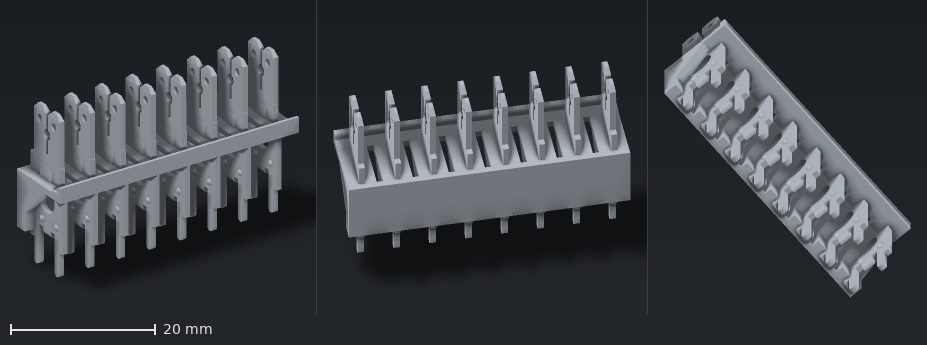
import cadquery as cq
import math


TERMINAL_COUNT = 8
PITCH = 5.08
ROW_CENTRE = (TERMINAL_COUNT - 1) / 2
TERMINAL_X = 5.0

HOUSING_LENGTH = 39.68
HOUSING_BOTTOM = 5.15
HOUSING_TOP = 14.1
WALL_WIDTH = 2.02
SLOPE_FOOT = 8.15
FLANGE_BOTTOM = 13.15
SLOPE_END_X = 6.95
RAMP_START_X = 8.4
RAMP_END_X = 8.95
LEDGE_TOP = 14.45
LIP_INNER_X = 10.05
LIP_OUTER_X = 10.9
LIP_TOP = 15.5
LIP_RADIUS = 0.5

SLOT_START_X = 0.95
SLOT_END_X = 8.35
SLOT_WIDTH = 0.95

THICKNESS = 0.85
TOTAL_HEIGHT = 25.0
SHANK_LEFT = SLOT_START_X
SHANK_RIGHT = 8.25
SHOULDER_RIGHT = 8.95
SHOULDER_TOP = 13.0
SHOULDER_CHAMFER = 0.15
SHANK_TOP = 17.0
SHANK_BOTTOM = 3.95
SHANK_FILLET = 0.25

PRONG_SPAN = 6.35
PRONG_GAP = 0.7
PRONG_GAP_BOTTOM = 17.78
TIP_HEIGHT = 0.85
TIP_THICKNESS = 0.55
KEYHOLE_DIAMETER = 1.65
KEYHOLE_Z = 21.0
EYE_DIAMETER = 1.2
EYE_SPACING = 3.5
EYE_Z = 22.85
WINDOW_DIAMETER = 4.0
WINDOW_Z = 10.95

LEG_SPAN = 6.2
LEG_WIDTH = 1.1
LEG_RADIUS = 0.5
CROTCH_Z = 6.35

TAB_WIDTH = 1.8
TAB_BOTTOM = 5.1

BARB_TOP = 16.15
BARB_TOP_WIDTH = 2.98
BARB_BOTTOM_WIDTH = 2.75
BARB_REACH = 0.25

DIMPLE_DIAMETER = 1.05
DIMPLE_HEIGHT = 0.28
DIMPLE_SPACING = 3.6
DIMPLE_X = 5.67
DIMPLE_Z = 7.55


def plate(outline, thickness):
    """Extrude a closed XZ outline symmetrically about Y = 0."""
    return cq.Workplane("XZ").polyline(outline).close().extrude(thickness / 2, both=True)


def cross_hole(x, z, diameter):
    """Round cutter running along Y through the blade."""
    return cq.Workplane("XZ").center(x, z).circle(diameter / 2).extrude(THICKNESS, both=True)


def make_housing():
    body = plate([
        (0, HOUSING_BOTTOM),
        (WALL_WIDTH, HOUSING_BOTTOM),
        (WALL_WIDTH, SLOPE_FOOT),
        (SLOPE_END_X, FLANGE_BOTTOM),
        (LIP_OUTER_X, FLANGE_BOTTOM),
        (LIP_OUTER_X, LIP_TOP),
        (LIP_INNER_X, LIP_TOP),
        (LIP_INNER_X, LEDGE_TOP),
        (RAMP_END_X, LEDGE_TOP),
        (RAMP_START_X, HOUSING_TOP),
        (0, HOUSING_TOP),
    ], HOUSING_LENGTH)
    lip_corner = cq.selectors.NearestToPointSelector((LIP_INNER_X, 0, LIP_TOP))
    body = body.edges(lip_corner).fillet(LIP_RADIUS)

    slot_count = 2 * TERMINAL_COUNT - 1
    slots = (
        cq.Workplane("XY")
        .center((SLOT_START_X + SLOT_END_X) / 2, 0)
        .rarray(0.4, PITCH / 2, 1, slot_count)
        .rect(SLOT_END_X - SLOT_START_X, SLOT_WIDTH)
        .extrude(HOUSING_TOP)
    )
    return body.cut(slots)


def make_shank():
    return plate([
        (SHANK_LEFT, SHANK_BOTTOM),
        (SHOULDER_RIGHT, SHANK_BOTTOM),
        (SHOULDER_RIGHT, SHOULDER_TOP - SHOULDER_CHAMFER),
        (SHOULDER_RIGHT - SHOULDER_CHAMFER, SHOULDER_TOP),
        (SHANK_RIGHT, SHOULDER_TOP),
        (SHANK_RIGHT, SHANK_TOP),
        (SHANK_LEFT, SHANK_TOP),
    ], THICKNESS)


def make_prongs():
    """Two tapered prongs split by a gap with a round relief."""
    prong_width = (PRONG_SPAN - PRONG_GAP) / 2
    prong_height = TOTAL_HEIGHT - SHANK_TOP
    prongs = (
        cq.Workplane("XY", origin=(TERMINAL_X, 0, SHANK_TOP))
        .rarray(prong_width + PRONG_GAP, 0.4, 2, 1)
        .rect(prong_width, THICKNESS)
        .extrude(prong_height)
        .edges(">Z and |Y")
        .chamfer(TIP_HEIGHT)
    )
    bridge_height = PRONG_GAP_BOTTOM - SHANK_TOP
    bridge = (
        cq.Workplane("XY", origin=(TERMINAL_X, 0, SHANK_TOP))
        .rect(PRONG_SPAN, THICKNESS)
        .extrude(bridge_height)
    )
    taper_start = TOTAL_HEIGHT - TIP_HEIGHT
    taper = (
        cq.Workplane("YZ")
        .polyline([
            (-THICKNESS / 2, SHANK_TOP),
            (THICKNESS / 2, SHANK_TOP),
            (THICKNESS / 2, taper_start),
            (TIP_THICKNESS / 2, TOTAL_HEIGHT),
            (-TIP_THICKNESS / 2, TOTAL_HEIGHT),
            (-THICKNESS / 2, taper_start),
        ])
        .close()
        .extrude(SHOULDER_RIGHT)
    )
    prongs = prongs.union(bridge).intersect(taper)
    prongs = prongs.cut(cross_hole(TERMINAL_X, KEYHOLE_Z, KEYHOLE_DIAMETER))
    for side in (-1, 1):
        prongs = prongs.cut(cross_hole(TERMINAL_X + side * EYE_SPACING / 2, EYE_Z, EYE_DIAMETER))
    return prongs


def make_corner_fillet():
    """Concave fillet where the outer prong rises from the shank."""
    corner_x = TERMINAL_X - PRONG_SPAN / 2
    inset = SHANK_FILLET * (1 - math.sqrt(0.5))
    return (
        cq.Workplane("XZ")
        .moveTo(corner_x, SHANK_TOP)
        .lineTo(corner_x - SHANK_FILLET, SHANK_TOP)
        .threePointArc((corner_x - inset, SHANK_TOP + inset), (corner_x, SHANK_TOP + SHANK_FILLET))
        .close()
        .extrude(THICKNESS / 2, both=True)
    )


def make_legs():
    return (
        cq.Workplane("XY", origin=(TERMINAL_X, 0, 0))
        .rarray(LEG_SPAN - LEG_WIDTH, 0.4, 2, 1)
        .rect(LEG_WIDTH, THICKNESS)
        .extrude(SHANK_BOTTOM)
        .edges("<Z and |Y")
        .fillet(LEG_RADIUS)
    )


def make_crotch():
    """Cutter for the opening between the legs."""
    return (
        cq.Workplane("XY", origin=(TERMINAL_X, 0, 0))
        .rect(LEG_SPAN - 2 * LEG_WIDTH, 2 * THICKNESS)
        .extrude(CROTCH_Z)
    )


def make_tab():
    """Tab between the legs, its lower end a quarter round curling towards +Y."""
    front = -THICKNESS / 2
    back = THICKNESS / 2
    bend_start = TAB_BOTTOM + THICKNESS
    diagonal = THICKNESS * math.sqrt(0.5)
    return (
        cq.Workplane("YZ", origin=(TERMINAL_X, 0, 0))
        .moveTo(front, CROTCH_Z)
        .lineTo(front, bend_start)
        .threePointArc((back - diagonal, bend_start - diagonal), (back, TAB_BOTTOM))
        .lineTo(back, CROTCH_Z)
        .close()
        .extrude(TAB_WIDTH / 2, both=True)
    )


def make_barb():
    """Wedge that leans out of the -Y face and rests on top of the housing."""
    face = -THICKNESS / 2
    wedge = (
        cq.Workplane("YZ", origin=(TERMINAL_X, 0, 0))
        .polyline([(0, BARB_TOP), (face, BARB_TOP), (face - BARB_REACH, HOUSING_TOP), (0, HOUSING_TOP)])
        .close()
        .extrude(BARB_TOP_WIDTH / 2, both=True)
    )
    trapezoid = plate([
        (TERMINAL_X - BARB_BOTTOM_WIDTH / 2, HOUSING_TOP),
        (TERMINAL_X + BARB_BOTTOM_WIDTH / 2, HOUSING_TOP),
        (TERMINAL_X + BARB_TOP_WIDTH / 2, BARB_TOP),
        (TERMINAL_X - BARB_TOP_WIDTH / 2, BARB_TOP),
    ], 2 * (THICKNESS + BARB_REACH))
    return wedge.intersect(trapezoid)


def make_dimple(x):
    """Shallow spherical bump on the -Y face."""
    rim = DIMPLE_DIAMETER / 2
    ball_radius = (rim**2 + DIMPLE_HEIGHT**2) / (2 * DIMPLE_HEIGHT)
    depth = ball_radius - DIMPLE_HEIGHT
    ball = cq.Workplane("XY", origin=(x, depth - THICKNESS / 2, DIMPLE_Z)).sphere(ball_radius)
    blade_zone = cq.Workplane("XY", origin=(x, -THICKNESS / 2, DIMPLE_Z)).box(
        2 * ball_radius, THICKNESS, 2 * ball_radius)
    return ball.intersect(blade_zone)


def make_terminal():
    terminal = make_shank().cut(make_crotch())
    terminal = terminal.cut(cross_hole(TERMINAL_X, WINDOW_Z, WINDOW_DIAMETER))
    for feature in (make_prongs(), make_corner_fillet(), make_legs(), make_tab(), make_barb()):
        terminal = terminal.union(feature)
    for side in (-1, 1):
        terminal = terminal.union(make_dimple(DIMPLE_X + side * DIMPLE_SPACING / 2))
    return terminal


housing = make_housing().solids()
terminal = make_terminal().solids()
terminals = [
    terminal.translate((0, (index - ROW_CENTRE) * PITCH, 0))
    for index in range(TERMINAL_COUNT)
]

result = cq.Compound.makeCompound([housing.val(), *[blade.val() for blade in terminals]])